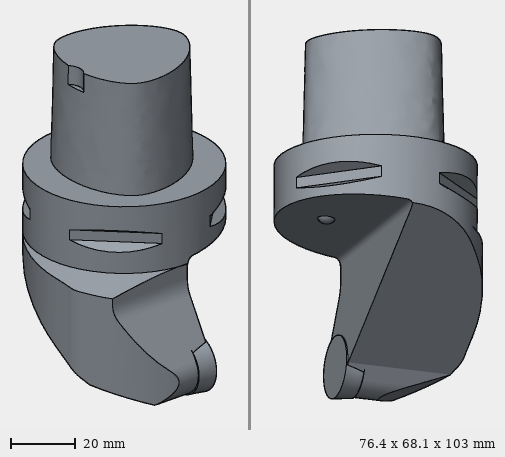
import cadquery as cq
import math


SHANK_HEIGHT = 38.0
SHANK_BASE_RADIUS = 22.0
SHANK_TOP_RADIUS = 21.1
LOBE_HEIGHT = 1.5
LOBES = 3
OUTLINE_POINTS = 48
NOTCH_RADIUS = 5.5
NOTCH_CENTER_Y = -23.4
NOTCH_DEPTH = 6.4

COLLAR_RADIUS = 31.5
COLLAR_HEIGHT = 22.9
GROOVE_COUNT = 4
GROOVE_FLOOR_RADIUS = 28.0
GROOVE_FLOOR_WIDTH = 3.4
GROOVE_Z = -11.9
GROOVE_FLANK_ANGLE = 30.0

INSERT_RADIUS = 10.0
INSERT_THICKNESS = 6.4
INSERT_CLEARANCE = 7.0
INSERT_X = 34.9
INSERT_Z = -(103.0 - SHANK_HEIGHT - INSERT_RADIUS)

FLAT_Y = -0.4
NOSE_RADIUS = 8.8
UNDERSIDE_LEFT_Z = -21.5
UNDERSIDE_END = (24.7, -56.6)
ARM_RIGHT_X = 31.2
RIGHT_SLOPE = 60.0
RIGHT_BLEND_RADIUS = 10.3
ARM_CONE_SLOPE = 0.25
ARM_REACH = 51.5
ARM_BOTTOM_Z = -72.1
ARM_START_Z = -18.5
ARM_FRONT_Y = -36.5
FRONT_FLAT_START_X = 10.7
FRONT_FLAT_END_X = 16.9
ARM_SIDE_START_X = -19.6
ARM_CURVE_START = (-17.2, -26.6)
ARM_CURVE_MIDDLE = (-2.7, -34.4)
ARM_CORNER = (23.0, -35.1)
ARM_CORNER_MIDDLE = (20.1, -36.3)
ARM_OUTER_MIDDLE = (35.0, -27.3)
ARM_OUTER_END_Y = -14.1

CLEARANCE_START_Y = -14.4
CLEARANCE_SLOPE_X = -0.07
CLEARANCE_SLOPE_Y = -0.32

ROOF_Z_AT_FLAT = -20.7
ROOF_Z_AT_RIM = -18.0
ROOF_FILLET = 2.3

BALL_DIAMETER = 6.5
BALL_Y = 16.3
BALL_BOTTOM_Z = -20.8


def shank_outline(radius):
    """Three-lobed constant-width curve with one lobe toward +Y."""
    points = []
    for i in range(OUTLINE_POINTS):
        angle = 2 * math.pi * i / OUTLINE_POINTS
        support = radius + LOBE_HEIGHT * math.cos(LOBES * angle)
        slope = -LOBES * LOBE_HEIGHT * math.sin(LOBES * angle)
        x = support * math.sin(angle) + slope * math.cos(angle)
        y = support * math.cos(angle) - slope * math.sin(angle)
        points.append((x, y))
    return points


def make_shank():
    shank = (
        cq.Workplane("XY")
        .spline(shank_outline(SHANK_BASE_RADIUS), periodic=True).close()
        .workplane(offset=SHANK_HEIGHT)
        .spline(shank_outline(SHANK_TOP_RADIUS), periodic=True).close()
        .loft(ruled=True)
    )
    notch = (
        cq.Workplane("XY", origin=(0, NOTCH_CENTER_Y, SHANK_HEIGHT - NOTCH_DEPTH))
        .circle(NOTCH_RADIUS).extrude(NOTCH_DEPTH)
    )
    return shank.cut(notch)


def make_groove(angle):
    """Straight groove with a flat floor and flared flanks, facing the given direction."""
    outer = COLLAR_RADIUS + 1
    half_floor = GROOVE_FLOOR_WIDTH / 2
    half_mouth = half_floor + (outer - GROOVE_FLOOR_RADIUS) * math.tan(math.radians(GROOVE_FLANK_ANGLE))
    return (
        cq.Workplane("XZ")
        .moveTo(GROOVE_FLOOR_RADIUS, GROOVE_Z - half_floor)
        .lineTo(outer, GROOVE_Z - half_mouth)
        .lineTo(outer, GROOVE_Z + half_mouth)
        .lineTo(GROOVE_FLOOR_RADIUS, GROOVE_Z + half_floor)
        .close()
        .extrude(COLLAR_RADIUS, both=True)
        .rotate((0, 0, 0), (0, 0, 1), angle)
    )


def make_collar():
    collar = cq.Workplane("XY").circle(COLLAR_RADIUS).extrude(-COLLAR_HEIGHT)
    for i in range(GROOVE_COUNT):
        collar = collar.cut(make_groove((i + 0.5) * 360 / GROOVE_COUNT))
    return collar


def nose_point(degrees):
    angle = math.radians(degrees)
    return (INSERT_X + NOSE_RADIUS * math.cos(angle), INSERT_Z + NOSE_RADIUS * math.sin(angle))


def make_side_profile():
    """Arm and collar seen along Y: slanted underside, round nose, sloping right side."""
    end_dx = UNDERSIDE_END[0] - INSERT_X
    end_dz = UNDERSIDE_END[1] - INSERT_Z
    tangent_angle = math.degrees(
        math.atan2(end_dz, end_dx) + math.acos(NOSE_RADIUS / math.hypot(end_dx, end_dz))
    )
    right_tangent_angle = 90 - RIGHT_SLOPE
    right_tangent = nose_point(right_tangent_angle)
    rise = (right_tangent[0] - ARM_RIGHT_X) * math.tan(math.radians(RIGHT_SLOPE))
    right_corner_z = right_tangent[1] + rise
    blend_length = RIGHT_BLEND_RADIUS * math.tan(math.radians((90 - RIGHT_SLOPE) / 2))
    blend_end = (
        ARM_RIGHT_X + blend_length * math.cos(math.radians(RIGHT_SLOPE)),
        right_corner_z - blend_length * math.sin(math.radians(RIGHT_SLOPE)),
    )
    return (
        cq.Workplane("XZ")
        .moveTo(-COLLAR_RADIUS, UNDERSIDE_LEFT_Z)
        .lineTo(*UNDERSIDE_END)
        .lineTo(*nose_point(tangent_angle))
        .threePointArc(nose_point(-90), right_tangent)
        .lineTo(*blend_end)
        .tangentArcPoint((ARM_RIGHT_X, right_corner_z + blend_length), relative=False)
        .lineTo(ARM_RIGHT_X, ARM_START_Z)
        .lineTo(-COLLAR_RADIUS, ARM_START_Z)
        .close()
        .extrude(ARM_REACH, both=True)
    )


def make_plan_profile():
    """Arm seen along Z, joined to the disc of the collar."""
    arm_right = INSERT_X + NOSE_RADIUS
    height = ARM_START_Z - ARM_BOTTOM_Z
    side_start_y = -math.sqrt(COLLAR_RADIUS**2 - ARM_SIDE_START_X**2)
    base = cq.Workplane("XY", origin=(0, 0, ARM_BOTTOM_Z))
    wing = (
        base.moveTo(0, 0)
        .lineTo(ARM_SIDE_START_X, side_start_y)
        .lineTo(*ARM_CURVE_START)
        .threePointArc(ARM_CURVE_MIDDLE, (FRONT_FLAT_START_X, ARM_FRONT_Y))
        .lineTo(FRONT_FLAT_END_X, ARM_FRONT_Y)
        .threePointArc(ARM_CORNER_MIDDLE, ARM_CORNER)
        .threePointArc(ARM_OUTER_MIDDLE, (arm_right, ARM_OUTER_END_Y))
        .lineTo(arm_right, 0)
        .close()
        .extrude(height)
    )
    return base.circle(COLLAR_RADIUS).extrude(height).union(wing)


def make_cone_limit():
    """Space below the arm's conical top, which starts at the collar's lower rim."""
    cone_end_z = -COLLAR_HEIGHT - ARM_CONE_SLOPE * (ARM_REACH - COLLAR_RADIUS)
    return (
        cq.Workplane("XZ")
        .moveTo(0, ARM_START_Z)
        .lineTo(COLLAR_RADIUS, ARM_START_Z)
        .lineTo(COLLAR_RADIUS, -COLLAR_HEIGHT)
        .lineTo(ARM_REACH, cone_end_z)
        .lineTo(ARM_REACH, ARM_BOTTOM_Z)
        .lineTo(0, ARM_BOTTOM_Z)
        .close()
        .revolve(360, (0, 0, 0), (0, 1, 0))
    )


def make_underside_cut():
    """Wedge below the slanted underside, left of the nose."""
    slope = (UNDERSIDE_END[1] - UNDERSIDE_LEFT_Z) / (UNDERSIDE_END[0] + COLLAR_RADIUS)
    start_z = UNDERSIDE_LEFT_Z + slope * (COLLAR_RADIUS - ARM_REACH)
    return (
        cq.Workplane("XZ")
        .moveTo(-ARM_REACH, start_z)
        .lineTo(*UNDERSIDE_END)
        .lineTo(-ARM_REACH, UNDERSIDE_END[1])
        .close()
        .extrude(ARM_REACH, both=True)
    )


def make_nose_clearance():
    """Block below the clearance plane under the nose."""
    plane = cq.Plane(
        origin=(INSERT_X, CLEARANCE_START_Y, INSERT_Z - NOSE_RADIUS),
        xDir=(1, 0, CLEARANCE_SLOPE_X),
        normal=(-CLEARANCE_SLOPE_X, -CLEARANCE_SLOPE_Y, 1),
    )
    return cq.Workplane(plane).rect(2 * ARM_REACH, 2 * ARM_REACH).extrude(-ARM_REACH)


def make_relief():
    """Open space in front of the flat face, below the sloping roof."""
    roof_slope = (ROOF_Z_AT_RIM - ROOF_Z_AT_FLAT) / (COLLAR_RADIUS - FLAT_Y)
    far_z = ROOF_Z_AT_FLAT + roof_slope * (ARM_REACH - FLAT_Y)
    relief = (
        cq.Workplane("YZ")
        .moveTo(FLAT_Y, ARM_BOTTOM_Z)
        .lineTo(FLAT_Y, ROOF_Z_AT_FLAT)
        .lineTo(ARM_REACH, far_z)
        .lineTo(ARM_REACH, ARM_BOTTOM_Z)
        .close()
        .extrude(ARM_REACH, both=True)
    )
    roof_corner = cq.selectors.NearestToPointSelector((0, FLAT_Y, ROOF_Z_AT_FLAT))
    return relief.edges(roof_corner).fillet(ROOF_FILLET)


def make_coolant_ball():
    radius = BALL_DIAMETER / 2
    return cq.Workplane("XY", origin=(0, BALL_Y, BALL_BOTTOM_Z + radius)).sphere(radius)


def make_insert():
    """Round insert, narrowing away from its face at Y = 0."""
    return (
        cq.Workplane("XZ", origin=(INSERT_X, 0, INSERT_Z))
        .circle(INSERT_RADIUS)
        .extrude(INSERT_THICKNESS, taper=INSERT_CLEARANCE)
    )


def make_holder(insert):
    arm = make_side_profile().intersect(make_plan_profile()).intersect(make_cone_limit())
    holder = make_collar().union(arm)
    holder = holder.cut(make_underside_cut()).cut(make_nose_clearance()).cut(make_relief())
    return holder.union(make_shank()).union(make_coolant_ball()).cut(insert)


insert = make_insert()
holder = make_holder(insert)

result = cq.Compound.makeCompound([holder.val(), insert.val()])